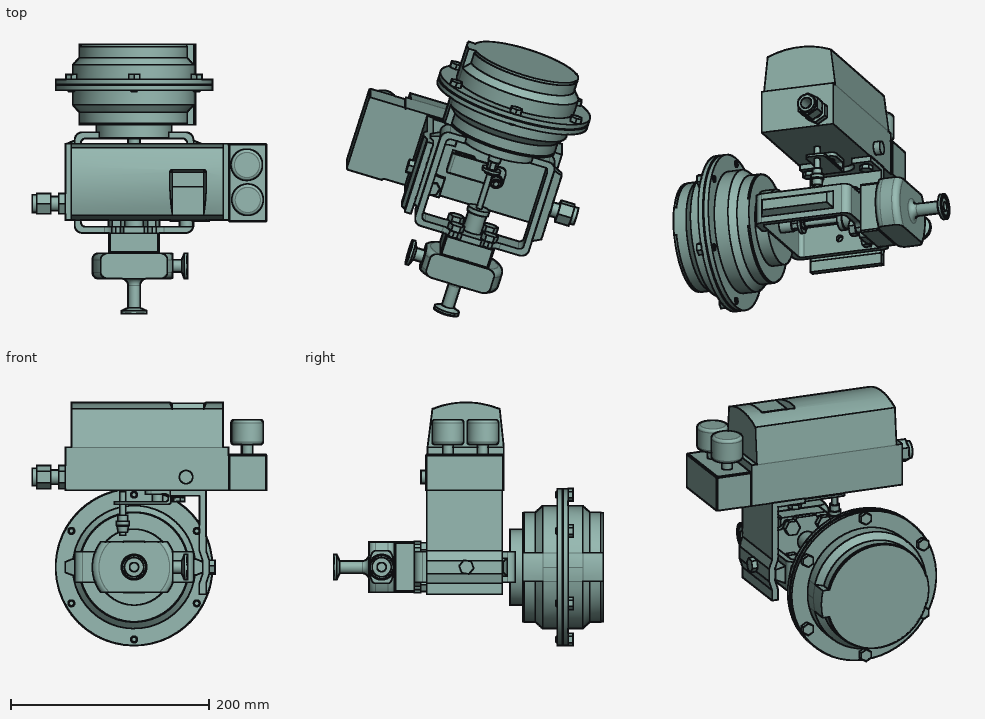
import cadquery as cq
import math


FLANGE_RADIUS = 79.2
FLANGE_HALF = 5.5
GASKET_HALF = 0.5
GASKET_INSET = 0.3
SHELL_RADIUS = 62.0
SHELL_HALF = 20.2
END_RADIUS = 55.5
END_START = 27.4
ACTUATOR_BACK = 41.15
ACTUATOR_FRONT = -40.3
BACK_LIP_START = 38.5
FRONT_LIP_START = -38.5
LIP_STEP = 0.5
PAD_HALF_WIDTH = 14.5
BOSS_RADIUS = 38.3
BOSS_END = -53.2

FLANGE_BOLT_COUNT = 6
FLANGE_BOLT_CIRCLE = 73.0
FLANGE_BOLT_FLATS = 11.0
FLANGE_BOLT_HEAD = 5.1
FLANGE_BOLT_RADIUS = 3.3
FLANGE_BOLT_STICKOUT = 1.3
FLANGE_BOLT_CHAMFER = 0.8

YOKE_HALF_WIDTH = 60.0
YOKE_HALF_HEIGHT = 15.5
YOKE_THICKNESS = 6.5
YOKE_BACK = -47.6
YOKE_FRONT = -149.4
YOKE_OUTER_RADIUS = 8.0
YOKE_INNER_RADIUS = 4.5
RIB_HEIGHT = 9.3
RIB_BACK = -56.0
RIB_FRONT = -133.1
RIB_HALF_HEIGHT = 9.1
RIB_SLOPE = 3.8

STUD_OFFSET = 17.7
HUB_TONGUE = (10.4, 25.9)
HUB_VALLEY = (14.0, 20.5)
HUB_LOBE_PEAK = (18.4, 23.0)
HUB_LOBE_SHOULDER = (21.0, 21.9)
HUB_LOBE_SIDE = (22.6, 19.4)
HUB_BLEND_MIDDLE = (26.6, 16.4)
HUB_BLEND_END = (32.0, YOKE_HALF_HEIGHT)
NUT_FLATS = 14.2
NUT_HEIGHT = 6.6

SPINDLE_RADIUS = 6.2
SPINDLE_END = -67.0
COUPLING_FLATS = 9.0
COUPLING_DISC_START = -75.0
COUPLING_DISC_END = -78.0
COUPLING_DISC_RADIUS = 9.3
LOCKNUT_FLATS = 10.0
LOCKNUT_END = -80.5
ROD_RADIUS = 2.8
GLAND_RADIUS = 9.7
GLAND_FLANGE_RADIUS = 11.2
GLAND_FLANGE_END = -123.0
GLAND_START = -118.0

BONNET_HALF = 25.5
BONNET_FRONT = -168.3
BONNET_CHAMFER = 1.5
SEAL_RADIUS = 23.0
BODY_BACK = -169.6
BODY_FRONT = -195.4
BODY_RADIUS = 42.2
BODY_FILLET = 6.5
BODY_HALF_HEIGHT = 25.4
BODY_PORT_FACE = 38.9

TUBE_RADIUS = 6.3
BORE_RADIUS = 4.6
FERRULE_RADIUS = 12.85
FERRULE_RIM = 3.3
FERRULE_CONE = 2.9
FERRULE_GROOVE_INNER = 9.7
FERRULE_GROOVE_OUTER = 11.7
FERRULE_GROOVE_DEPTH = 0.8
NECK_FILLET = 6.4
FRONT_PORT_END = -230.96
SIDE_PORT_END = 54.1

BASE_X = (-69.3, 95.4)
BASE_Y = (-136.3, -59.2)
BASE_Z = (77.4, 121.0)
COVER_X = (-63.1, 89.8)
COVER_SHOULDER_Y = (-131.4, -63.3)
COVER_SHOULDER_Z = 159.5
COVER_CREST_Z = 166.18
WINDOW_X = (38.7, 70.2)
WINDOW_BACK = -87.9
WINDOW_TAPER = 22.0
WINDOW_HEIGHT = 12.0
DISPLAY_FRONT = -102.6
DISPLAY_DEPTH = 2.0
BUTTON_X = 52.4
BUTTON_Z = 90.8
BUTTON_RADIUS = 6.7
BUTTON_HEIGHT = 6.7

BLOCK_X_END = 133.84
BLOCK_FRONT = -138.1
BLOCK_TOP = 113.6
BLOCK_CHAMFER = 1.2
KNOB_CENTERS = [(113.6, -80.5), (114.4, -115.7)]
KNOB_RADIUS = 15.9
KNOB_BOTTOM = 123.4
KNOB_TOP = 148.8
KNOB_FILLET = 3.2
KNOB_STEM_RADIUS = 5.4

CABLE_Y = -119.7
CABLE_Z = BUTTON_Z
CABLE_HEX_FLATS = 20.6
CABLE_BASE_HEX_END = -76.1
CABLE_NECK_END = -83.8
CABLE_NECK_RADIUS = 7.3
CABLE_HEX_END = -98.2
CABLE_END = -102.7
CABLE_END_RADIUS = 9.0
CABLE_HOLE_RADIUS = 5.6
CABLE_HOLE_DEPTH = 20.0

BRACKET_Y = (-137.2, -60.8)
BRACKET_LEFT = 36.4
BRACKET_INNER = 65.9
BRACKET_OUTER = 72.6
BRACKET_SHELF_BOTTOM = 71.8
BRACKET_BOTTOM = -27.5
BRACKET_JOG = 3.3
BRACKET_JOG_START = 16.4
BRACKET_JOG_END = 6.6
BRACKET_SLOT_CENTER = -99.1
BRACKET_SLOT_RADIUS = 17.6
BRACKET_SLOT_STRAIGHT = 4.0
SHELF_BOLT_X = 44.9
SHELF_BOLT_Y = (-129.0, -67.7)
SHELF_BOLT_RADIUS = 3.3
SHELF_BOLT_NECK_BOTTOM = 70.4
SHELF_BOLT_BOTTOM = 66.0
SHELF_BOLT_FLATS = 11.5
SHELF_BOLT_TURN = -15.0
ARM_BOLT_Y = -97.0
ARM_BOLT_FLATS = 12.9
ARM_BOLT_HEAD = 5.9
ARM_BOLT_TURN = 10.0
ARM_HOLE_RADIUS = 3.2
ARM_HOLE_DEPTH = 5.0

LEVER_Y = -97.3
CLIP_HALF_WIDTH = 10.3
CLIP_RIGHT = 37.2
CLIP_THICKNESS = 2.5
CLIP_BOTTOM = 63.5
CLIP_UPPER_BOTTOM = 73.5
CLIP_UPPER_LEFT = 11.5
CLIP_LOWER_LEFT = -20.2
CLIP_END_RADIUS = 5.5
CLIP_BEND_RADIUS = 3.0
ROLLER_X = 23.6
ROLLER_RADIUS = 5.2
PIN_X = -11.4
PIN_PROFILE = [(3.1, 75.9), (3.1, 52.3), (4.8, 52.3), (4.8, 46.0), (6.4, 46.0), (6.4, 42.0),
               (5.7, 41.0), (4.7, 34.9), (2.9, 34.9), (2.9, 32.0)]


def box(x_range, y_range, z_range):
    size = [max(r) - min(r) for r in (x_range, y_range, z_range)]
    corner = [min(r) for r in (x_range, y_range, z_range)]
    return cq.Workplane("XY").box(*size, centered=False).translate(tuple(corner))


def cylinder(start, direction, length, radius):
    return cq.Workplane(cq.Solid.makeCylinder(radius, length, cq.Vector(*start), cq.Vector(*direction)))


def cylinder_y(x, z, y_range, radius):
    """Cylinder parallel to the Y axis."""
    return cylinder((x, min(y_range), z), (0, 1, 0), max(y_range) - min(y_range), radius)


def hexagon(start, direction, corner_direction, length, flats):
    """Hexagonal prism with one corner pointing along corner_direction."""
    plane = cq.Plane(origin=start, xDir=corner_direction, normal=direction)
    return cq.Workplane(plane).polygon(6, flats / math.cos(math.pi / 6)).extrude(length)


def merge(parts):
    body = parts[0]
    for part in parts[1:]:
        body = body.union(part)
    return body


def end_outline(side, end_y):
    """Radius / Y points from the flange rim to one end of the actuator (side is +1 or -1)."""
    return [
        (FLANGE_RADIUS - GASKET_INSET, side * GASKET_HALF),
        (FLANGE_RADIUS, side * GASKET_HALF),
        (FLANGE_RADIUS, side * FLANGE_HALF),
        (SHELL_RADIUS, side * FLANGE_HALF),
        (SHELL_RADIUS, side * SHELL_HALF),
        (END_RADIUS, side * END_START),
        (END_RADIUS, end_y),
        (0, end_y),
    ]


def make_actuator():
    outline = end_outline(1, ACTUATOR_BACK)[::-1] + end_outline(-1, ACTUATOR_FRONT)
    shell = cq.Workplane("XY").polyline(outline).close().revolve(360, (0, 0, 0), (0, 1, 0))
    shell = shell.cut(make_lip_step((BACK_LIP_START, ACTUATOR_BACK)))
    shell = shell.cut(make_lip_step((ACTUATOR_FRONT, FRONT_LIP_START)))
    boss = cylinder_y(0, 0, (BOSS_END, 0), BOSS_RADIUS)
    return merge([shell, make_port_pad(), boss] + make_flange_bolts())


def make_lip_step(lip_y):
    """Shallow step around one actuator end, interrupted at the -X and +X sides."""
    outside = cylinder_y(0, 0, lip_y, END_RADIUS + LIP_STEP)
    ring = outside.cut(cylinder_y(0, 0, lip_y, END_RADIUS - LIP_STEP))
    return ring.cut(box((-SHELL_RADIUS, SHELL_RADIUS), lip_y, (-PAD_HALF_WIDTH, PAD_HALF_WIDTH)))


def make_port_pad():
    """Full-length pad on the +X side, flush with the widest part of the shell."""
    length = (ACTUATOR_FRONT, ACTUATOR_BACK)
    strip = box((SHELL_RADIUS / 2, SHELL_RADIUS), length, (-PAD_HALF_WIDTH, PAD_HALF_WIDTH))
    return strip.intersect(cylinder_y(0, 0, length, SHELL_RADIUS))


def make_flange_bolts():
    bolts = []
    for index in range(FLANGE_BOLT_COUNT):
        angle = math.radians(90 + index * 360 / FLANGE_BOLT_COUNT)
        x = FLANGE_BOLT_CIRCLE * math.cos(angle)
        z = FLANGE_BOLT_CIRCLE * math.sin(angle)
        bolts.append(hexagon((x, FLANGE_HALF, z), (0, 1, 0), (0, 0, 1), FLANGE_BOLT_HEAD, FLANGE_BOLT_FLATS))
        shank = cylinder_y(x, z, (-FLANGE_HALF - FLANGE_BOLT_STICKOUT, 0), FLANGE_BOLT_RADIUS)
        bolts.append(shank.faces("<Y").chamfer(FLANGE_BOLT_CHAMFER))
    return bolts


def make_yoke():
    outer = box((-YOKE_HALF_WIDTH, YOKE_HALF_WIDTH), (YOKE_FRONT, YOKE_BACK),
                (-YOKE_HALF_HEIGHT, YOKE_HALF_HEIGHT))
    inner_half = YOKE_HALF_WIDTH - YOKE_THICKNESS
    inner = box((-inner_half, inner_half), (YOKE_FRONT + YOKE_THICKNESS, YOKE_BACK - YOKE_THICKNESS),
                (-YOKE_HALF_HEIGHT, YOKE_HALF_HEIGHT))
    frame = outer.edges("|Z").fillet(YOKE_OUTER_RADIUS).cut(inner.edges("|Z").fillet(YOKE_INNER_RADIUS))
    return merge([frame, make_rib(1), make_rib(-1), make_hub()])


def make_rib(side):
    """Stiffening rib on the outside of one yoke arm, sloped on all four sides."""
    length = RIB_BACK - RIB_FRONT
    plane = cq.Plane(origin=(side * YOKE_HALF_WIDTH, (RIB_BACK + RIB_FRONT) / 2, 0),
                     xDir=(0, 1, 0), normal=(side, 0, 0))
    return (cq.Workplane(plane).rect(length, 2 * RIB_HALF_HEIGHT)
            .workplane(offset=RIB_HEIGHT).rect(length - 2 * RIB_SLOPE, 2 * (RIB_HALF_HEIGHT - RIB_SLOPE))
            .loft())


def make_hub():
    """Widened middle of the front yoke plate, with a tongue above and below and a nut at each stud."""
    back = YOKE_FRONT + YOKE_THICKNESS
    quarter = (
        cq.Workplane("XZ", origin=(0, back, 0))
        .moveTo(0, 0)
        .lineTo(0, HUB_TONGUE[1])
        .lineTo(*HUB_TONGUE)
        .lineTo(*HUB_VALLEY)
        .lineTo(*HUB_LOBE_PEAK)
        .threePointArc(HUB_LOBE_SHOULDER, HUB_LOBE_SIDE)
        .threePointArc(HUB_BLEND_MIDDLE, HUB_BLEND_END)
        .lineTo(HUB_BLEND_END[0], 0)
        .close()
        .extrude(YOKE_THICKNESS)
    )
    half = quarter.union(quarter.mirror("YZ"))
    parts = [half, half.mirror("XY")]
    for x in (-STUD_OFFSET, STUD_OFFSET):
        for z in (-STUD_OFFSET, STUD_OFFSET):
            parts.append(hexagon((x, back, z), (0, 1, 0), (1, 0, 0), NUT_HEIGHT, NUT_FLATS))
    return merge(parts)


def make_stem():
    toward_front = (0, -1, 0)
    coupling_length = SPINDLE_END - COUPLING_DISC_START
    locknut_length = COUPLING_DISC_END - LOCKNUT_END
    return merge([
        cylinder_y(0, 0, (SPINDLE_END, BOSS_END), SPINDLE_RADIUS),
        hexagon((0, SPINDLE_END, 0), toward_front, (1, 0, 0), coupling_length, COUPLING_FLATS),
        cylinder_y(0, 0, (COUPLING_DISC_END, COUPLING_DISC_START), COUPLING_DISC_RADIUS),
        hexagon((0, COUPLING_DISC_END, 0), toward_front, (1, 0, 0), locknut_length, LOCKNUT_FLATS),
        cylinder_y(0, 0, (GLAND_START, SPINDLE_END), ROD_RADIUS),
        cylinder_y(0, 0, (GLAND_FLANGE_END, GLAND_START), GLAND_FLANGE_RADIUS),
        cylinder_y(0, 0, (YOKE_FRONT, GLAND_FLANGE_END), GLAND_RADIUS),
    ])


def make_valve():
    bonnet = box((-BONNET_HALF, BONNET_HALF), (BONNET_FRONT, YOKE_FRONT), (-BONNET_HALF, BONNET_HALF))
    bonnet = bonnet.edges("|Y").chamfer(BONNET_CHAMFER)
    seal = cylinder_y(0, 0, (BODY_BACK, BONNET_FRONT), SEAL_RADIUS)
    body = cylinder_y(0, 0, (BODY_FRONT, BODY_BACK), BODY_RADIUS).edges().fillet(BODY_FILLET)
    body = body.intersect(box((-BODY_RADIUS, BODY_PORT_FACE), (BODY_FRONT, BODY_BACK),
                              (-BODY_HALF_HEIGHT, BODY_HALF_HEIGHT)))
    body_middle = (BODY_BACK + BODY_FRONT) / 2
    front_port = cq.Plane(origin=(0, BODY_FRONT, 0), xDir=(1, 0, 0), normal=(0, -1, 0))
    side_port = cq.Plane(origin=(BODY_PORT_FACE, body_middle, 0), xDir=(0, 1, 0), normal=(1, 0, 0))
    front_length = BODY_FRONT - FRONT_PORT_END
    side_length = SIDE_PORT_END - BODY_PORT_FACE
    valve = merge([bonnet, seal, body, make_ferrule(front_port, front_length, NECK_FILLET),
                   make_ferrule(side_port, side_length, 0)])
    valve = valve.cut(make_port_bore(front_port, front_length))
    return valve.cut(make_port_bore(side_port, side_length))


def make_ferrule(port, length, neck_fillet):
    """Tube with a clamp rim, standing on the given port plane."""
    profile = cq.Plane(origin=port.origin, xDir=port.xDir, normal=port.xDir.cross(port.zDir))
    outline = cq.Workplane(profile).moveTo(0, 0)
    if neck_fillet:
        throat = neck_fillet * (1 - math.sqrt(0.5))
        outline = (outline.lineTo(TUBE_RADIUS + neck_fillet, 0)
                   .threePointArc((TUBE_RADIUS + throat, throat), (TUBE_RADIUS, neck_fillet)))
    else:
        outline = outline.lineTo(TUBE_RADIUS, 0)
    return (
        outline
        .lineTo(TUBE_RADIUS, length - FERRULE_RIM - FERRULE_CONE)
        .lineTo(FERRULE_RADIUS, length - FERRULE_RIM)
        .lineTo(FERRULE_RADIUS, length)
        .lineTo(0, length)
        .close()
        .revolve(360, (0, 0, 0), (0, 1, 0))
    )


def make_port_bore(port, length):
    """Bore of a port tube together with the seal groove in its rim face."""
    bore = cq.Workplane(port).circle(BORE_RADIUS).extrude(length)
    groove = (cq.Workplane(port).workplane(offset=length - FERRULE_GROOVE_DEPTH)
              .circle(FERRULE_GROOVE_OUTER).circle(FERRULE_GROOVE_INNER).extrude(FERRULE_GROOVE_DEPTH))
    return bore.union(groove)


def make_positioner():
    base = box(BASE_X, BASE_Y, BASE_Z)
    button = cylinder_y(BUTTON_X, BUTTON_Z, (BASE_Y[0] - BUTTON_HEIGHT, BASE_Y[0]), BUTTON_RADIUS)
    return merge([base, button, make_cover(), make_gauge_block(), make_cable_gland()])


def make_cover():
    """Tapered cover with an arched top and a display window open to the front."""
    crest_y = sum(COVER_SHOULDER_Y) / 2
    cover = (
        cq.Workplane("YZ", origin=(COVER_X[0], 0, 0))
        .moveTo(BASE_Y[0], BASE_Z[1])
        .lineTo(COVER_SHOULDER_Y[0], COVER_SHOULDER_Z)
        .threePointArc((crest_y, COVER_CREST_Z), (COVER_SHOULDER_Y[1], COVER_SHOULDER_Z))
        .lineTo(BASE_Y[1], BASE_Z[1])
        .close()
        .extrude(COVER_X[1] - COVER_X[0])
    )
    window_length = WINDOW_BACK - BASE_Y[0]
    window_center = (sum(WINDOW_X) / 2, (WINDOW_BACK + BASE_Y[0]) / 2, COVER_SHOULDER_Z)
    window = (
        cq.Workplane("XY", origin=window_center)
        .rect(WINDOW_X[1] - WINDOW_X[0], window_length)
        .extrude(WINDOW_HEIGHT, taper=-WINDOW_TAPER)
    )
    display_z = (COVER_SHOULDER_Z - DISPLAY_DEPTH, COVER_SHOULDER_Z)
    display = box(WINDOW_X, (DISPLAY_FRONT, WINDOW_BACK), display_z)
    return cover.cut(window).cut(display)


def make_gauge_block():
    block = box((BASE_X[1], BLOCK_X_END), (BLOCK_FRONT, BASE_Y[1]), (BASE_Z[0], BLOCK_TOP))
    parts = [block.edges("|Z or >Z").chamfer(BLOCK_CHAMFER)]
    up = (0, 0, 1)
    for x, y in KNOB_CENTERS:
        parts.append(cylinder((x, y, BLOCK_TOP), up, KNOB_BOTTOM - BLOCK_TOP, KNOB_STEM_RADIUS))
        knob = cylinder((x, y, KNOB_BOTTOM), up, KNOB_TOP - KNOB_BOTTOM, KNOB_RADIUS)
        parts.append(knob.edges().fillet(KNOB_FILLET))
    return merge(parts)


def make_cable_gland():
    outward = (-1, 0, 0)
    corner = (0, 0, 1)

    def at(x):
        return (x, CABLE_Y, CABLE_Z)

    gland = merge([
        hexagon(at(BASE_X[0]), outward, corner, BASE_X[0] - CABLE_BASE_HEX_END, CABLE_HEX_FLATS),
        cylinder(at(CABLE_BASE_HEX_END), outward, CABLE_BASE_HEX_END - CABLE_NECK_END, CABLE_NECK_RADIUS),
        hexagon(at(CABLE_NECK_END), outward, corner, CABLE_NECK_END - CABLE_HEX_END, CABLE_HEX_FLATS),
        cylinder(at(CABLE_HEX_END), outward, CABLE_HEX_END - CABLE_END, CABLE_END_RADIUS),
    ])
    return gland.cut(cylinder(at(CABLE_END), (1, 0, 0), CABLE_HOLE_DEPTH, CABLE_HOLE_RADIUS))


def make_bracket():
    """Angle bracket from the positioner to the +X yoke arm, jogged outward over the rib."""
    outline = [
        (BRACKET_LEFT, BASE_Z[0]),
        (BRACKET_OUTER, BASE_Z[0]),
        (BRACKET_OUTER, BRACKET_JOG_START),
        (BRACKET_OUTER + BRACKET_JOG, BRACKET_JOG_END),
        (BRACKET_OUTER + BRACKET_JOG, -BRACKET_JOG_END),
        (BRACKET_OUTER, -BRACKET_JOG_START),
        (BRACKET_OUTER, BRACKET_BOTTOM),
        (BRACKET_INNER, BRACKET_BOTTOM),
        (BRACKET_INNER, -BRACKET_JOG_START),
        (BRACKET_INNER + BRACKET_JOG, -BRACKET_JOG_END),
        (BRACKET_INNER + BRACKET_JOG, BRACKET_JOG_END),
        (BRACKET_INNER, BRACKET_JOG_START),
        (BRACKET_INNER, BRACKET_SHELF_BOTTOM),
        (BRACKET_LEFT, BRACKET_SHELF_BOTTOM),
    ]
    bracket = (cq.Workplane("XZ", origin=(0, BRACKET_Y[1], 0)).polyline(outline).close()
               .extrude(BRACKET_Y[1] - BRACKET_Y[0]))
    shelf_z = (BRACKET_SHELF_BOTTOM, BASE_Z[0])
    slot_end_x = BRACKET_LEFT + BRACKET_SLOT_STRAIGHT
    slot_y = (BRACKET_SLOT_CENTER - BRACKET_SLOT_RADIUS, BRACKET_SLOT_CENTER + BRACKET_SLOT_RADIUS)
    bracket = bracket.cut(box((BRACKET_LEFT, slot_end_x), slot_y, shelf_z))
    bracket = bracket.cut(cylinder((slot_end_x, BRACKET_SLOT_CENTER, BRACKET_SHELF_BOTTOM), (0, 0, 1),
                                   BASE_Z[0] - BRACKET_SHELF_BOTTOM, BRACKET_SLOT_RADIUS))
    return merge([bracket] + make_bracket_bolts())


def make_bracket_bolts():
    down = (0, 0, -1)
    turn = math.radians(SHELF_BOLT_TURN)
    shelf_corner = (math.cos(turn), math.sin(turn), 0)
    bolts = []
    for y in SHELF_BOLT_Y:
        neck = (SHELF_BOLT_X, y, BRACKET_SHELF_BOTTOM)
        head = (SHELF_BOLT_X, y, SHELF_BOLT_NECK_BOTTOM)
        bolts.append(cylinder(neck, down, BRACKET_SHELF_BOTTOM - SHELF_BOLT_NECK_BOTTOM, SHELF_BOLT_RADIUS))
        bolts.append(hexagon(head, down, shelf_corner, SHELF_BOLT_NECK_BOTTOM - SHELF_BOLT_BOTTOM,
                             SHELF_BOLT_FLATS))
    turn = math.radians(ARM_BOLT_TURN)
    arm_corner = (0, -math.cos(turn), math.sin(turn))
    arm_face = (BRACKET_OUTER + BRACKET_JOG, ARM_BOLT_Y, 0)
    bolts.append(hexagon(arm_face, (1, 0, 0), arm_corner, ARM_BOLT_HEAD, ARM_BOLT_FLATS))
    return bolts


def make_clip_arm(left, bottom, top):
    """Flat strip reaching from its free end to the bend; the free end has rounded corners."""
    strip = box((left, CLIP_RIGHT), (LEVER_Y - CLIP_HALF_WIDTH, LEVER_Y + CLIP_HALF_WIDTH), (bottom, top))
    return strip.edges("|Z and <X").fillet(CLIP_END_RADIUS)


def make_clip():
    """U-shaped clip: a short upper arm under the positioner, a bend, and a longer lower arm."""
    gap = (CLIP_BOTTOM + CLIP_THICKNESS, CLIP_UPPER_BOTTOM)
    full_width = (LEVER_Y - CLIP_HALF_WIDTH, LEVER_Y + CLIP_HALF_WIDTH)
    upper = make_clip_arm(CLIP_UPPER_LEFT, CLIP_UPPER_BOTTOM, BASE_Z[0])
    lower = make_clip_arm(CLIP_LOWER_LEFT, CLIP_BOTTOM, gap[0])
    bend_left = CLIP_RIGHT - CLIP_THICKNESS - CLIP_BEND_RADIUS
    bend = box((bend_left, CLIP_RIGHT), full_width, gap)
    opening = box((CLIP_LOWER_LEFT, CLIP_RIGHT - CLIP_THICKNESS), full_width, gap)
    bend = bend.cut(opening.edges("|Y and >X").fillet(CLIP_BEND_RADIUS))
    clip = merge([upper, lower, bend])
    return clip.edges("|Y and >X and <Z").fillet(CLIP_THICKNESS)


def make_lever():
    """Clip with a roller between its arms and a hanging pin through its lower arm."""
    roller_bottom = CLIP_BOTTOM + CLIP_THICKNESS
    roller = cylinder((ROLLER_X, LEVER_Y, roller_bottom), (0, 0, 1), CLIP_UPPER_BOTTOM - roller_bottom,
                      ROLLER_RADIUS)
    outline = [(0, PIN_PROFILE[0][1])] + PIN_PROFILE + [(0, PIN_PROFILE[-1][1])]
    pin = (cq.Workplane("XZ", origin=(PIN_X, LEVER_Y, 0)).polyline(outline).close()
           .revolve(360, (0, 0, 0), (0, 1, 0)))
    return merge([make_clip(), roller, pin])


def make_arm_hole():
    """Blind hole in the inner face of the +X yoke arm, in line with the bracket bolt."""
    inner_face = YOKE_HALF_WIDTH - YOKE_THICKNESS
    return cylinder((inner_face, ARM_BOLT_Y, 0), (1, 0, 0), ARM_HOLE_DEPTH, ARM_HOLE_RADIUS)


result = merge([
    make_actuator(),
    make_yoke().cut(make_arm_hole()),
    make_stem(),
    make_valve(),
    make_positioner(),
    make_bracket(),
    make_lever(),
])